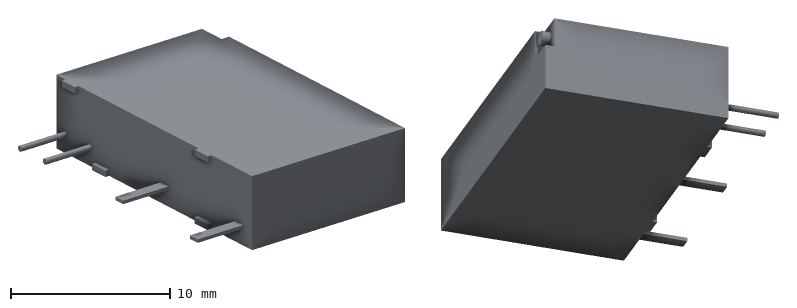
import cadquery as cq

body_width = 20.0
body_depth = 12.18
body_height = 5.08

pin_pitch = 2.55
pin_length = 3.62
first_pin_x = 0.9
pin_z = 1.28
round_pin_diameter = 0.4
flat_pin_width = 0.8
flat_pin_thickness = 0.25
round_pin_steps = (0, 1)
flat_pin_steps = (4, 7)

foot_width = 1.35
foot_height = 0.45
foot_depth = 0.3
left_top_foot_x = 1.6
left_bottom_foot_x = 4.7
right_feet_x = 15.18

notch_size = 2.0
notch_depth = 0.6
notch_corner_radius = notch_size / 2
post_radius = 0.45


def block(width, depth, height, center_x, front_y, bottom_z):
    """Box placed by its middle in X, its front face and its underside."""
    return (
        cq.Workplane("XY")
        .box(width, depth, height, centered=(True, False, False))
        .translate((center_x, front_y, bottom_z))
    )


def round_pin(x):
    return (
        cq.Workplane("XZ")
        .center(x, pin_z)
        .circle(round_pin_diameter / 2)
        .extrude(pin_length)
    )


def flat_pin(x):
    bottom_z = pin_z - flat_pin_thickness / 2
    return block(flat_pin_width, pin_length, flat_pin_thickness, x, -pin_length, bottom_z)


def foot(x, bottom_z):
    return block(foot_width, foot_depth, foot_height, x, -foot_depth, bottom_z)


def corner_notch():
    """Open corner recess with a rounded inner corner and a round post left standing on its wall."""
    floor_z = body_height - notch_size
    rear_plane = cq.Workplane("XZ", origin=(0, body_depth, 0))
    recess = (
        rear_plane
        .moveTo(0, body_height)
        .lineTo(0, floor_z)
        .lineTo(notch_size - notch_corner_radius, floor_z)
        .radiusArc((notch_size, floor_z + notch_corner_radius), -notch_corner_radius)
        .lineTo(notch_size, body_height)
        .close()
        .extrude(notch_depth)
    )
    post = (
        rear_plane
        .center(notch_size / 2, floor_z + notch_size / 2)
        .circle(post_radius)
        .extrude(notch_depth)
    )
    return recess.cut(post)


result = block(body_width, body_depth, body_height, body_width / 2, 0, 0).cut(corner_notch())

for step in round_pin_steps:
    result = result.union(round_pin(first_pin_x + step * pin_pitch))
for step in flat_pin_steps:
    result = result.union(flat_pin(first_pin_x + step * pin_pitch))

for foot_x in (left_bottom_foot_x, right_feet_x):
    result = result.union(foot(foot_x, 0))
for foot_x in (left_top_foot_x, right_feet_x):
    result = result.union(foot(foot_x, body_height - foot_height))